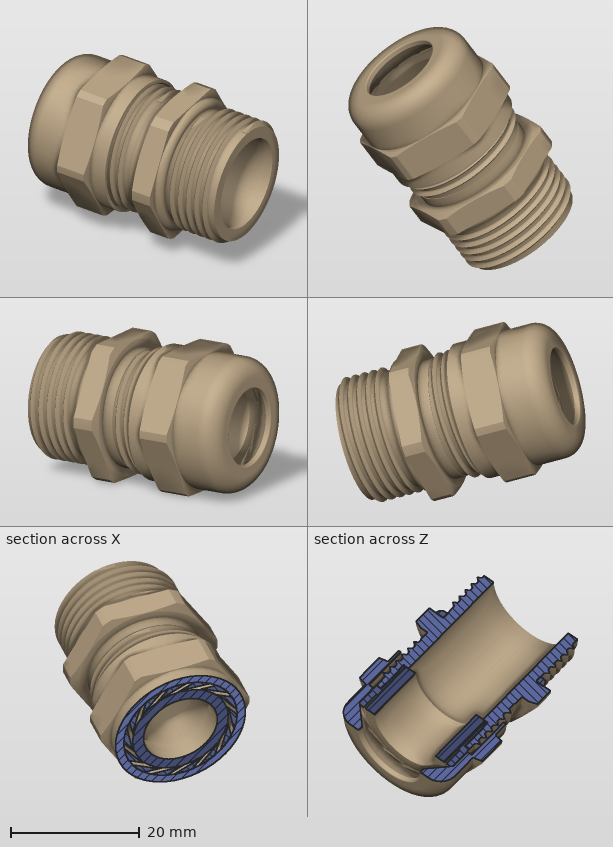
import cadquery as cq
import math


HEX_SIDES = 6
ACROSS_FLATS = 22.0
CAP_HEX_DIAMETER = 24.7
BODY_HEX_DIAMETER = 24.45
CAP_HEX_START = 7.33
CAP_HEX_END = 12.9
BODY_HEX_START = 20.92
BODY_HEX_END = 24.67
CAP_HEX_BEVEL = 0.35
BODY_HEX_BEVEL = 0.45

CAP_RADIUS = 21.7 / 2
CAP_END = 15.5
DOME_FILLET = 2.92
LIP_RADIUS = 12.3 / 2
LIP_MOUTH_RADIUS = 12.75 / 2
LIP_END = 0.87
CAP_BORE_RADIUS = 20.6 / 2
CAP_BORE_START = 7.65

CLAW_START = 3.82
CLAW_END = 13.9
CLAW_INNER_RADIUS = 15.95 / 2
CLAW_TIP_RADIUS = 18.07 / 2
CLAW_OUTER_RADIUS = 18.75 / 2
STEM_RADIUS = 16.92 / 2
CLAW_COUNT = 14
TAPER_SLOPE = (CLAW_TIP_RADIUS - LIP_RADIUS) / (CLAW_START - LIP_END)
CLAW_TAPER_END = LIP_END + (CLAW_OUTER_RADIUS - LIP_RADIUS) / TAPER_SLOPE
SLOT_WIDTH = 0.63
SLOT_DEPTH = 3.13
SLOT_REACH = 6.25
SLOT_OUTER_WALL = 8.13
SLOT_ANGLE = -11.0

SEAL_BORE_RADIUS = 12.2 / 2

BODY_START = 8.35
BODY_END = 34.75
BODY_BORE_RADIUS = 14.95 / 2
SOCKET_RADIUS = 17.0 / 2
CORE_RADIUS = 18.85 / 2
COLLAR_RADIUS = 19.1 / 2
COLLAR_START = 19.2
NECK_RADIUS = 18.75 / 2
NECK_END = 26.2

THREAD_PITCH = 1.5
THREAD_CREST_RADIUS = 20.3 / 2
THREAD_FOOT_WIDTH = 1.05
THREAD_ROOT_SINK = 0.07
REAR_THREAD_START = 26.7
REAR_THREAD_TURNS = 5
FRONT_THREAD_END = 18.63
FRONT_THREAD_TURNS = 6
RUNOUT_HEIGHT = 9.55
RUNOUT_WIDTH = 4.17

GASKET_END = 25.7
GASKET_FILLET = 1.0


def turned(points):
    """Solid of revolution about X from (x, radius) corners."""
    return cq.Workplane("XY").polyline(points).close().revolve(360, (0, 0, 0), (1, 0, 0))


def ring(start, end, inner_radius, outer_radius):
    """Plain tube along X."""
    return turned([(start, inner_radius), (end, inner_radius), (end, outer_radius), (start, outer_radius)])


def bevelled_hexagon(start, end, corner_diameter, front_bevel, back_bevel):
    """Hexagon along X with flats on top and bottom, its corners turned down and its ends bevelled."""
    corner_radius = corner_diameter / 2
    prism = (
        cq.Workplane("YZ", origin=(start, 0, 0))
        .polygon(HEX_SIDES, ACROSS_FLATS / math.cos(math.pi / HEX_SIDES))
        .extrude(end - start)
    )
    outline = [(start, 0), (start, CAP_RADIUS), (start + front_bevel, corner_radius)]
    if back_bevel:
        outline += [(end - back_bevel, corner_radius), (end, CAP_RADIUS), (end, 0)]
    else:
        outline += [(end, corner_radius), (end, 0)]
    return prism.intersect(turned(outline))


def make_cap_nut():
    """Domed nut with a hexagon, a rounded mouth, a taper down to the claws and a wide rear bore."""
    barrel = turned([(0, 0), (CAP_END, 0), (CAP_END, CAP_RADIUS), (0, CAP_RADIUS)])
    barrel = barrel.faces("<X").edges().fillet(DOME_FILLET)
    nut = barrel.union(
        bevelled_hexagon(CAP_HEX_START, CAP_HEX_END, CAP_HEX_DIAMETER, CAP_HEX_BEVEL, CAP_HEX_BEVEL)
    )
    cavity = turned([
        (0, 0),
        (0, LIP_RADIUS),
        (LIP_END, LIP_RADIUS),
        (CLAW_TAPER_END, CLAW_OUTER_RADIUS),
        (CAP_BORE_START, CLAW_OUTER_RADIUS),
        (CAP_BORE_START, CAP_BORE_RADIUS),
        (CAP_END, CAP_BORE_RADIUS),
        (CAP_END, 0),
    ])
    nut = nut.cut(cavity)
    mouth_edge = cq.selectors.RadiusNthSelector(0)
    return nut.faces("<X").edges(mouth_edge).fillet(LIP_MOUTH_RADIUS - LIP_RADIUS)


def make_claw_cage():
    """Tube whose front is split into claws by slanted slots, nearly tangent to its inside."""
    cage = turned([
        (CLAW_START, CLAW_INNER_RADIUS),
        (CLAW_END, CLAW_INNER_RADIUS),
        (CLAW_END, STEM_RADIUS),
        (BODY_START, STEM_RADIUS),
        (BODY_START, CLAW_OUTER_RADIUS),
        (CLAW_TAPER_END, CLAW_OUTER_RADIUS),
        (CLAW_START, CLAW_TIP_RADIUS),
    ])
    slot = cq.Workplane("XY").box(SLOT_DEPTH, SLOT_WIDTH, SLOT_REACH, centered=False)
    slot = slot.translate((CLAW_START, SLOT_OUTER_WALL - SLOT_WIDTH, 0))
    for index in range(CLAW_COUNT):
        angle = SLOT_ANGLE + index * 360 / CLAW_COUNT
        cage = cage.cut(slot.rotate((0, 0, 0), (1, 0, 0), angle))
    return cage


def make_seal():
    """Sleeve filling the inside of the claw cage, with a bore for the cable."""
    return ring(CLAW_START, CLAW_END, SEAL_BORE_RADIUS, CLAW_INNER_RADIUS)


def thread_ridge(start, turns):
    """Right-handed V ridge around X that starts and ends on top, with a flat cut on each end."""
    length = turns * THREAD_PITCH
    foot_radius = CORE_RADIUS - THREAD_ROOT_SINK
    half_foot = THREAD_FOOT_WIDTH / 2
    path = cq.Workplane(cq.Wire.makeHelix(THREAD_PITCH, length, foot_radius))
    ridge = (
        cq.Workplane("XZ")
        .polyline([(foot_radius, -half_foot), (THREAD_CREST_RADIUS, 0), (foot_radius, half_foot)])
        .close()
        .sweep(path, isFrenet=True)
        .rotate((0, 0, 0), (1, 0, 1), 180)
        .translate((start, 0, 0))
    )
    for end, side in ((start, -1), (start + length, 1)):
        runout = cq.Workplane("XY").box(
            THREAD_PITCH, RUNOUT_WIDTH, RUNOUT_WIDTH, centered=(True, True, False)
        ).translate((end, side * RUNOUT_WIDTH / 2, RUNOUT_HEIGHT))
        ridge = ridge.cut(runout)
    return ridge


def make_gland_body():
    """Hexagon with a threaded sleeve on each side and a socket for the claw cage in front."""
    body = turned([
        (BODY_START, 0),
        (BODY_START, CORE_RADIUS),
        (COLLAR_START, CORE_RADIUS),
        (COLLAR_START, COLLAR_RADIUS),
        (BODY_HEX_START, COLLAR_RADIUS),
        (BODY_HEX_END, NECK_RADIUS),
        (NECK_END, NECK_RADIUS),
        (NECK_END, CORE_RADIUS),
        (BODY_END, CORE_RADIUS),
        (BODY_END, 0),
    ])
    body = body.union(
        bevelled_hexagon(BODY_HEX_START, BODY_HEX_END, BODY_HEX_DIAMETER, BODY_HEX_BEVEL, 0)
    )
    front_start = FRONT_THREAD_END - FRONT_THREAD_TURNS * THREAD_PITCH
    body = body.union(thread_ridge(front_start, FRONT_THREAD_TURNS))
    body = body.union(thread_ridge(REAR_THREAD_START, REAR_THREAD_TURNS))
    bore = turned([
        (BODY_START, 0),
        (BODY_START, SOCKET_RADIUS),
        (CLAW_END, SOCKET_RADIUS),
        (CLAW_END, BODY_BORE_RADIUS),
        (BODY_END, BODY_BORE_RADIUS),
        (BODY_END, 0),
    ])
    return body.cut(bore)


def make_gasket():
    """Flat ring behind the hexagon, rounded on its rear outer edge."""
    gasket = ring(BODY_HEX_END, GASKET_END, NECK_RADIUS, CAP_RADIUS)
    outer_edge = cq.selectors.RadiusNthSelector(1)
    return gasket.faces(">X").edges(outer_edge).fillet(GASKET_FILLET)


cap_nut = make_cap_nut()
claw_cage = make_claw_cage()
seal = make_seal()
gland_body = make_gland_body()
gasket = make_gasket()

result = cq.Compound.makeCompound(
    [cap_nut.val(), claw_cage.val(), seal.val(), gland_body.val(), gasket.val()]
)